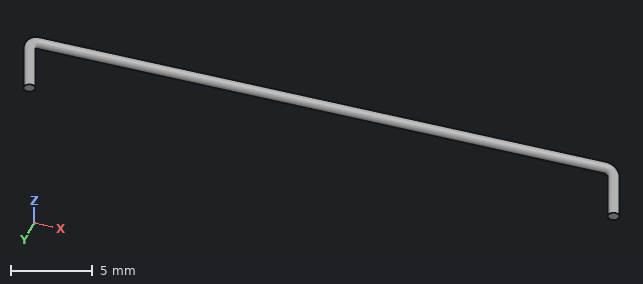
import cadquery as cq

length = 38.75
height = 4.0
wire_diameter = 0.75
bend_radius = 0.6

wire_radius = wire_diameter / 2
leg_x = length / 2 - wire_radius
bar_z = height - wire_radius

centreline = (
    cq.Workplane("XZ")
    .moveTo(-leg_x, 0)
    .lineTo(-leg_x, bar_z - bend_radius)
    .radiusArc((-leg_x + bend_radius, bar_z), bend_radius)
    .lineTo(leg_x - bend_radius, bar_z)
    .radiusArc((leg_x, bar_z - bend_radius), bend_radius)
    .lineTo(leg_x, 0)
)

result = cq.Workplane("XY").center(-leg_x, 0).circle(wire_radius).sweep(centreline)